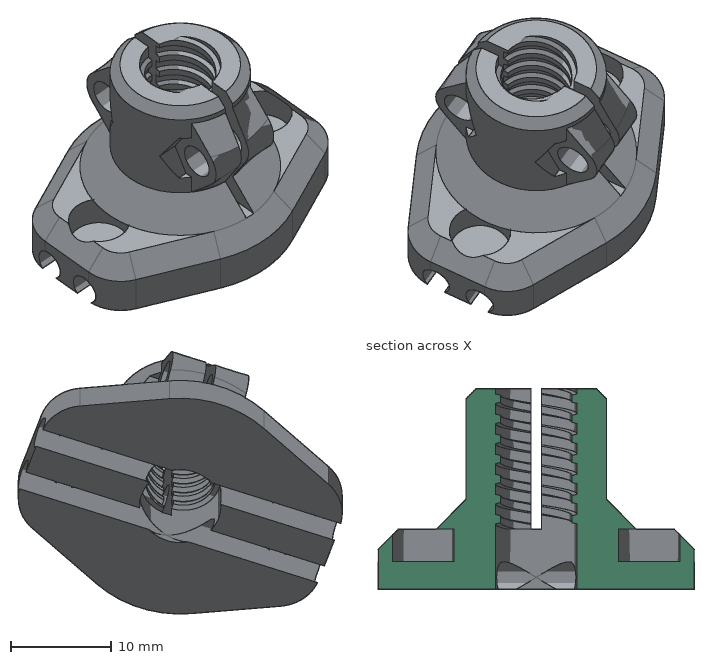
import cadquery as cq
import math

FLANGE_HEIGHT = 6.0
FLANGE_CHAMFER = 2.0
FLANGE_MIDDLE_RADIUS = 12.0
FLANGE_HALF_LENGTH = 15.75
FLANGE_CORNER_RADIUS = 4.5
FLANGE_CORNER_X = 3.1
FLANGE_CORNER_Y = FLANGE_HALF_LENGTH - FLANGE_CORNER_RADIUS

RECESS_DIAMETER = 6.1
RECESS_FLOOR_Z = 2.8
CHANNEL_DIAMETER = 3.1
CHANNEL_X = 2.5
CHANNEL_Z = 1.2

COLLAR_RADIUS = 7.0
CONE_BOTTOM_Z = FLANGE_HEIGHT - FLANGE_CHAMFER
CONE_HEIGHT = FLANGE_MIDDLE_RADIUS - COLLAR_RADIUS
COLLAR_BASE_Z = CONE_BOTTOM_Z + CONE_HEIGHT
TOTAL_HEIGHT = 20.0
COLLAR_CHAMFER = 1.0

LUG_X = 6.5
LUG_Z = 13.75
LUG_RADIUS = 2.75
LUG_HALF_WIDTH = 4.0
LUG_HALF_HEIGHT = 4.7
LUG_INNER_X = 5.0
CLAMP_HOLE_DIAMETER = 3.5
NUT_ACROSS_FLATS = 5.4
SLOT_WIDTH = 1.0

BORE_RADIUS = 8.1 / 2
THREAD_CREST_RADIUS = 7.1 / 2
THREAD_STARTS = 2
THREAD_LEAD = 4.0
THREAD_FLANK_ANGLE = 15.0
THREAD_HALF_HEIGHT_AT_BORE = THREAD_LEAD / THREAD_STARTS / 4
THREAD_WALL_OVERLAP = 0.2
THREAD_BOTTOM_Z = FLANGE_HEIGHT


def polar(radius, degrees):
    """Point at the given radius and angle."""
    angle = math.radians(degrees)
    return (radius * math.cos(angle), radius * math.sin(angle))


def make_flange():
    """Lozenge plate: the tangent outline of the middle circle and four corner circles."""
    centre_distance = math.hypot(FLANGE_CORNER_X, FLANGE_CORNER_Y)
    radius_difference = FLANGE_MIDDLE_RADIUS - FLANGE_CORNER_RADIUS
    side_angle = math.degrees(
        math.atan2(FLANGE_CORNER_Y, FLANGE_CORNER_X)
        - math.acos(radius_difference / centre_distance)
    )

    def corner_point(degrees):
        x, y = polar(FLANGE_CORNER_RADIUS, degrees)
        return (FLANGE_CORNER_X + x, FLANGE_CORNER_Y + y)

    def turn(point, x_sign, y_sign):
        return (x_sign * point[0], y_sign * point[1])

    middle_end = polar(FLANGE_MIDDLE_RADIUS, side_angle)
    corner_start = corner_point(side_angle)
    corner_middle = corner_point((side_angle + 90) / 2)
    corner_end = corner_point(90)
    outline = (
        cq.Workplane("XY")
        .moveTo(*turn(middle_end, 1, -1))
        .threePointArc((FLANGE_MIDDLE_RADIUS, 0), middle_end)
        .lineTo(*corner_start)
        .threePointArc(corner_middle, corner_end)
        .lineTo(*turn(corner_end, -1, 1))
        .threePointArc(turn(corner_middle, -1, 1), turn(corner_start, -1, 1))
        .lineTo(*turn(middle_end, -1, 1))
        .threePointArc((-FLANGE_MIDDLE_RADIUS, 0), turn(middle_end, -1, -1))
        .lineTo(*turn(corner_start, -1, -1))
        .threePointArc(turn(corner_middle, -1, -1), turn(corner_end, -1, -1))
        .lineTo(*turn(corner_end, 1, -1))
        .threePointArc(turn(corner_middle, 1, -1), turn(corner_start, 1, -1))
        .close()
    )
    return outline.extrude(FLANGE_HEIGHT).faces(">Z").chamfer(FLANGE_CHAMFER)


def make_recesses():
    """Cutters for the two blind recesses in the flange, which reach under the edge of the cone."""
    return (
        cq.Workplane("XY", origin=(0, 0, RECESS_FLOOR_Z))
        .pushPoints([(0, FLANGE_CORNER_Y), (0, -FLANGE_CORNER_Y)])
        .circle(RECESS_DIAMETER / 2)
        .extrude(FLANGE_HEIGHT - RECESS_FLOOR_Z)
    )


def make_channels():
    """Cutters for the two channels that run along Y and break out of the underside."""
    return (
        cq.Workplane("XZ")
        .pushPoints([(-CHANNEL_X, CHANNEL_Z), (CHANNEL_X, CHANNEL_Z)])
        .circle(CHANNEL_DIAMETER / 2)
        .extrude(FLANGE_HALF_LENGTH, both=True)
    )


def make_collar():
    """Collar with its top chamfer, on a conical foot that continues the flange chamfer."""
    return (
        cq.Workplane("XZ")
        .moveTo(0, CONE_BOTTOM_Z)
        .lineTo(FLANGE_MIDDLE_RADIUS, CONE_BOTTOM_Z)
        .lineTo(COLLAR_RADIUS, COLLAR_BASE_Z)
        .lineTo(COLLAR_RADIUS, TOTAL_HEIGHT - COLLAR_CHAMFER)
        .lineTo(COLLAR_RADIUS - COLLAR_CHAMFER, TOTAL_HEIGHT)
        .lineTo(0, TOTAL_HEIGHT)
        .close()
        .revolve(360, (0, 0, 0), (0, 1, 0))
    )


def lug_section(y):
    """Lug cross-section at y: two flanks from the collar wall, tangent to the lug's round nose."""
    wall_x = math.sqrt(COLLAR_RADIUS**2 - y**2)
    to_wall = math.hypot(wall_x - LUG_X, LUG_HALF_HEIGHT)
    wall_angle = math.atan2(LUG_HALF_HEIGHT, wall_x - LUG_X)
    tangent_angle = math.degrees(wall_angle - math.acos(LUG_RADIUS / to_wall))
    nose_x, nose_z = polar(LUG_RADIUS, tangent_angle)
    outline = (
        cq.Workplane("XZ", origin=(LUG_X, y, LUG_Z))
        .moveTo(LUG_INNER_X - LUG_X, -LUG_HALF_HEIGHT)
        .lineTo(wall_x - LUG_X, -LUG_HALF_HEIGHT)
        .lineTo(nose_x, -nose_z)
        .threePointArc((LUG_RADIUS, 0), (nose_x, nose_z))
        .lineTo(wall_x - LUG_X, LUG_HALF_HEIGHT)
        .lineTo(LUG_INNER_X - LUG_X, LUG_HALF_HEIGHT)
        .close()
    )
    return outline.val()


def make_lugs():
    """Clamping lugs on the +X and -X sides of the collar."""
    sections = [lug_section(y) for y in (-LUG_HALF_WIDTH, 0, LUG_HALF_WIDTH)]
    lug = cq.Workplane(cq.Solid.makeLoft(sections))
    return lug.union(lug.mirror("YZ"))


def make_clamp_cutters():
    """Screw holes through the lugs and hexagonal seats in the collar beyond both lug ends."""
    centres = [(-LUG_X, LUG_Z), (LUG_X, LUG_Z)]
    nut_corner_diameter = NUT_ACROSS_FLATS / math.cos(math.pi / 6)
    holes = (
        cq.Workplane("XZ")
        .pushPoints(centres)
        .circle(CLAMP_HOLE_DIAMETER / 2)
        .extrude(COLLAR_RADIUS, both=True)
    )
    seats = (
        cq.Workplane("XZ", origin=(0, -LUG_HALF_WIDTH, 0))
        .pushPoints(centres)
        .polygon(6, nut_corner_diameter)
        .extrude(COLLAR_RADIUS - LUG_HALF_WIDTH)
    )
    return holes.union(seats).union(seats.mirror("XZ"))


def make_slot():
    """Cutter for the slot that splits the collar and its foot down to the flange."""
    slot_height = TOTAL_HEIGHT - FLANGE_HEIGHT
    return (
        cq.Workplane("XY", origin=(0, 0, FLANGE_HEIGHT))
        .rect(2 * FLANGE_MIDDLE_RADIUS, SLOT_WIDTH)
        .extrude(slot_height)
    )


def make_thread():
    """Right-handed trapezoidal ridges along the slotted height, ended flush with the top face."""
    height = TOTAL_HEIGHT - THREAD_BOTTOM_Z
    flank_slope = math.tan(math.radians(THREAD_FLANK_ANGLE))
    root_radius = BORE_RADIUS + THREAD_WALL_OVERLAP
    root_half_height = THREAD_HALF_HEIGHT_AT_BORE + THREAD_WALL_OVERLAP * flank_slope
    crest_half_height = root_half_height - (root_radius - THREAD_CREST_RADIUS) * flank_slope
    axis_start = cq.Vector(0, 0, THREAD_BOTTOM_Z)
    helix = cq.Wire.makeHelix(THREAD_LEAD, height, BORE_RADIUS, center=axis_start)
    ridge = (
        cq.Workplane("XZ", origin=(0, 0, THREAD_BOTTOM_Z))
        .moveTo(THREAD_CREST_RADIUS, -crest_half_height)
        .lineTo(root_radius, -root_half_height)
        .lineTo(root_radius, root_half_height)
        .lineTo(THREAD_CREST_RADIUS, crest_half_height)
        .close()
        .sweep(helix, isFrenet=True)
    )
    threaded_height = (
        cq.Workplane("XY", origin=(0, 0, THREAD_BOTTOM_Z))
        .circle(COLLAR_RADIUS)
        .extrude(height)
    )
    ridge = ridge.intersect(threaded_height)
    start_angles = [start * 360 / THREAD_STARTS for start in range(THREAD_STARTS)]
    return [ridge.rotate((0, 0, 0), (0, 0, 1), angle) for angle in start_angles]


bore = cq.Workplane("XY").circle(BORE_RADIUS).extrude(TOTAL_HEIGHT)

body = make_flange().union(make_collar()).union(make_lugs())
body = body.cut(make_recesses())
body = body.cut(make_clamp_cutters()).cut(make_channels()).cut(bore)
for ridge in make_thread():
    body = body.union(ridge)
body = body.cut(make_slot())
result = cq.Workplane(body.solids().val())